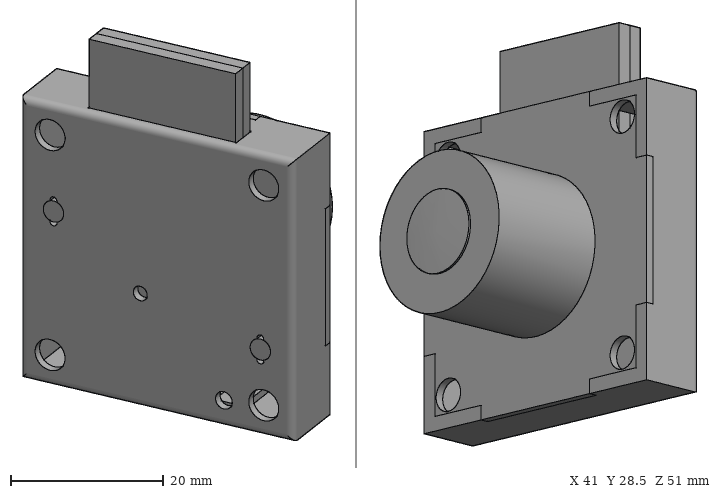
import cadquery as cq
import math

TOTAL_HEIGHT = 51.0

CASE_SIDE = 41.0
CASE_DEPTH = 10.0
CASE_WALL = 2.0
FRONT_WALL = 1.2
FRONT_FILLET = 1.0
HALF_CASE = CASE_SIDE / 2
CAVITY_SIDE = CASE_SIDE - 2 * CASE_WALL
HALF_CAVITY = CAVITY_SIDE / 2

COVER_THICKNESS = 1.2
COVER_FRONT = CASE_DEPTH - COVER_THICKNESS
TAB_WIDTH = 20.0

MOUNT_HOLE_DIAMETER = 4.5
MOUNT_HOLE_OFFSET = 16.0

SIGHT_HOLE_DIAMETER = 2.1
SIGHT_HOLE_PLACE = (-2.5, -4.0)
LEDGE_HOLE_DIAMETER = 2.5
LEDGE_HOLE_PLACE = (10.05, -16.7)

LEDGE_WIDTH = 4.1
LEDGE_HEIGHT = 1.0

PIN_DIAMETER = 3.05
PIN_PLACES = [(-15.5, 5.0), (15.5, -8.0)]
NOTCH_WIDTH = 1.0
NOTCH_SPAN = 4.2

BOLT_WIDTH = 22.0
BOLT_FRONT = 1.5
BOLT_PLATE_THICKNESS = 2.0
BOLT_PLATE_COUNT = 2
BOLT_TOP = TOTAL_HEIGHT - HALF_CASE
BOLT_BOTTOM = -10.2
SLOT_CLEARANCE = 0.15

BARREL_DIAMETER = 22.0
BARREL_LENGTH = 18.0
PLUG_DIAMETER = 11.4
PLUG_STEP = 0.3
DOME_HEIGHT = 0.2


def block(x_size, y_start, y_end, z_start, z_end):
    """A box centred on X = 0."""
    return (
        cq.Workplane("XY")
        .box(x_size, y_end - y_start, z_end - z_start, centered=(True, False, False))
        .translate((0, y_start, z_start))
    )


def rods(diameter, places, y_start, y_end):
    """Round rods along +Y at the given (x, z) places."""
    return (
        cq.Workplane("XZ", origin=(0, y_start, 0))
        .pushPoints(places)
        .circle(diameter / 2)
        .extrude(y_start - y_end)
    )


def mount_holes():
    offsets = (-MOUNT_HOLE_OFFSET, MOUNT_HOLE_OFFSET)
    places = [(x, z) for x in offsets for z in offsets]
    return rods(MOUNT_HOLE_DIAMETER, places, 0, CASE_DEPTH)


def cover_shape():
    """The inset plate with its four tabs, without holes."""
    plate = block(CAVITY_SIDE, COVER_FRONT, CASE_DEPTH, -HALF_CAVITY, HALF_CAVITY)
    upright_tabs = block(TAB_WIDTH, COVER_FRONT, CASE_DEPTH, -HALF_CASE, HALF_CASE)
    side_tabs = block(CASE_SIDE, COVER_FRONT, CASE_DEPTH, -TAB_WIDTH / 2, TAB_WIDTH / 2)
    return plate.union(upright_tabs).union(side_tabs)


def pin_notches():
    return (
        cq.Workplane("XZ")
        .pushPoints(PIN_PLACES)
        .slot2D(NOTCH_SPAN, NOTCH_WIDTH, 90)
        .extrude(-FRONT_WALL)
    )


def make_case():
    case = block(CASE_SIDE, 0, CASE_DEPTH, -HALF_CASE, HALF_CASE)
    case = case.faces("<Y").edges().fillet(FRONT_FILLET)
    case = case.cut(block(CAVITY_SIDE, FRONT_WALL, CASE_DEPTH, -HALF_CAVITY, HALF_CAVITY))

    ledge = block(LEDGE_WIDTH, FRONT_WALL, COVER_FRONT, -HALF_CAVITY, LEDGE_HEIGHT - HALF_CAVITY)
    case = case.union(ledge.translate((LEDGE_HOLE_PLACE[0], 0, 0)))

    bolt_rear = BOLT_FRONT + BOLT_PLATE_COUNT * BOLT_PLATE_THICKNESS
    case = case.cut(block(BOLT_WIDTH + 2 * SLOT_CLEARANCE, BOLT_FRONT, bolt_rear, 0, HALF_CASE))
    case = case.cut(cover_shape()).cut(mount_holes())
    case = case.cut(rods(SIGHT_HOLE_DIAMETER, [SIGHT_HOLE_PLACE], 0, FRONT_WALL))
    case = case.cut(rods(LEDGE_HOLE_DIAMETER, [LEDGE_HOLE_PLACE], 0, FRONT_WALL))
    return case.cut(rods(PIN_DIAMETER, PIN_PLACES, 0, FRONT_WALL)).cut(pin_notches())


def make_cover():
    return cover_shape().cut(mount_holes())


def make_bolt_plate(index):
    front = BOLT_FRONT + index * BOLT_PLATE_THICKNESS
    return block(BOLT_WIDTH, front, front + BOLT_PLATE_THICKNESS, BOLT_BOTTOM, BOLT_TOP)


def make_pin(place):
    return rods(PIN_DIAMETER, [place], 0, COVER_FRONT)


def make_barrel():
    barrel_rear = CASE_DEPTH + BARREL_LENGTH
    barrel = rods(BARREL_DIAMETER, [(0, 0)], CASE_DEPTH, barrel_rear)
    return barrel.cut(rods(PLUG_DIAMETER, [(0, 0)], CASE_DEPTH, barrel_rear))


def make_plug():
    radius = PLUG_DIAMETER / 2
    rim = CASE_DEPTH + BARREL_LENGTH + PLUG_STEP
    dome_radius = (radius**2 + DOME_HEIGHT**2) / (2 * DOME_HEIGHT)
    half_angle = math.asin(radius / dome_radius) / 2
    dome_centre = rim + DOME_HEIGHT - dome_radius
    dome_middle = (dome_radius * math.sin(half_angle), dome_centre + dome_radius * math.cos(half_angle))
    return (
        cq.Workplane("XY")
        .moveTo(0, CASE_DEPTH)
        .lineTo(radius, CASE_DEPTH)
        .lineTo(radius, rim)
        .threePointArc(dome_middle, (0, rim + DOME_HEIGHT))
        .close()
        .revolve(360, (0, 0, 0), (0, 1, 0))
    )


case = make_case()
cover = make_cover()
bolt_plates = [make_bolt_plate(index) for index in range(BOLT_PLATE_COUNT)]
pins = [make_pin(place) for place in PIN_PLACES]
barrel = make_barrel()
plug = make_plug()

result = cq.Compound.makeCompound([
    case.val(),
    cover.val(),
    *[plate.val() for plate in bolt_plates],
    *[pin.val() for pin in pins],
    barrel.val(),
    plug.val(),
])